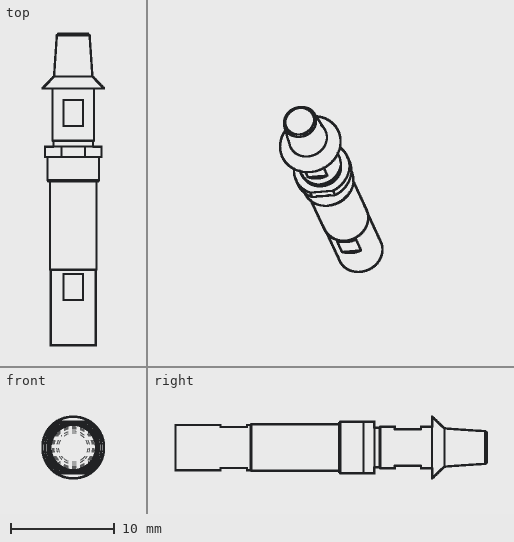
import cadquery as cq

length = 30.1

nose_tip_radius = 1.6
nose_base_radius = 1.87
nose_base_station = 4.12
nose_chamfer = 0.18

flange_radius = 6.0 / 2
flange_station = 5.3

shaft_radius = 2.02
neck_radius = 1.93
shaft_end_station = 10.38

collar_radius = 2.75
collar_start_station = 10.9
collar_end_station = 11.92
sleeve_radius = 2.5
sleeve_end_station = 14.3
sleeve_chamfer = 0.15

barrel_radius = 2.25
tail_radius = 2.2
barrel_end_station = 22.85

step_cone_length = 0.1

pocket_length = 2.53
shaft_pocket_depth = 0.25
tail_pocket_depth = 0.2
shaft_pocket_station = 6.38
tail_pocket_station = 23.2


def along_pin(station):
    """Y coordinate of a station."""
    return length / 2 - station


def turned_body():
    """Solid of revolution about the Y axis."""
    profile = [
        (0, 0),
        (nose_tip_radius - nose_chamfer, 0),
        (nose_tip_radius, nose_chamfer),
        (nose_base_radius, nose_base_station),
        (flange_radius, flange_station),
        (shaft_radius, flange_station),
        (shaft_radius, shaft_end_station - step_cone_length),
        (neck_radius, shaft_end_station),
        (neck_radius, collar_start_station),
        (collar_radius, collar_start_station),
        (collar_radius, collar_end_station),
        (sleeve_radius, collar_end_station),
        (sleeve_radius, sleeve_end_station - sleeve_chamfer),
        (sleeve_radius - sleeve_chamfer, sleeve_end_station),
        (barrel_radius, sleeve_end_station),
        (barrel_radius, barrel_end_station - step_cone_length),
        (tail_radius, barrel_end_station),
        (tail_radius, length),
        (0, length),
    ]
    points = [(radius, along_pin(station)) for radius, station in profile]
    return cq.Workplane("XY").polyline(points).close().revolve(360, (0, 0), (0, 1))


def cut_flats(body, floor_height, start_station, end_station):
    """Cut the top and bottom of the pin flat at +/- floor_height between two stations."""
    cutter_width = 2 * flange_radius
    cutter_height = flange_radius - floor_height
    cutter_length = end_station - start_station
    middle = along_pin((start_station + end_station) / 2)
    for side in (1, -1):
        centre_height = side * (floor_height + cutter_height / 2)
        cutter = cq.Workplane("XY").box(cutter_width, cutter_length, cutter_height)
        body = body.cut(cutter.translate((0, middle, centre_height)))
    return body


result = turned_body()

result = cut_flats(result, sleeve_radius, collar_start_station, collar_end_station)

for radius, depth, station in (
    (shaft_radius, shaft_pocket_depth, shaft_pocket_station),
    (tail_radius, tail_pocket_depth, tail_pocket_station),
):
    result = cut_flats(result, radius - depth, station, station + pocket_length)